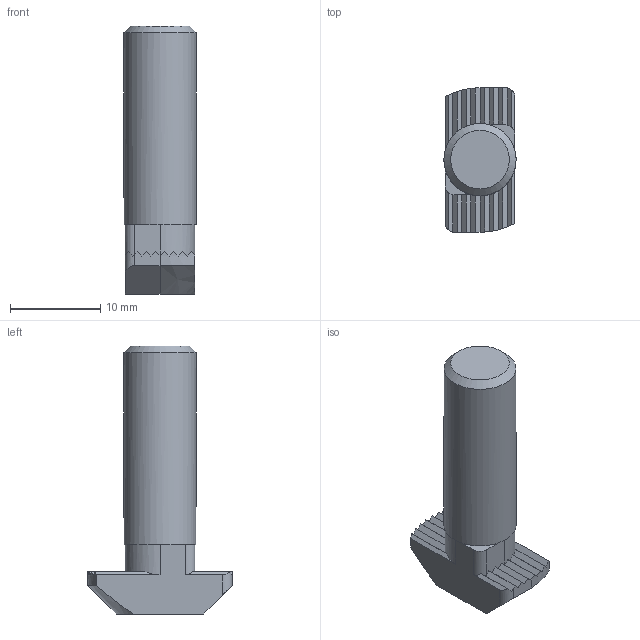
import cadquery as cq
import math

shank_diameter = 8.0
shank_length = 22.0
end_chamfer = 0.75
neck_top = 7.7
head_length = 16.0
head_width = 7.75
corner_radius = 1.05
shoulder_height = 3.15
tooth_pitch = 1.0
tooth_height = 0.5
tooth_root = 4.2

half_width = head_width / 2
half_length = head_length / 2
tooth_crest = tooth_root + tooth_height


def twist_lock_outline(plane_z, reach):
    """Outline with half size `reach` along Y: two round corners opposite two
    corners cut back to an arc about the axis, so the head can turn in its slot."""
    arc_end_y = math.sqrt(reach**2 - half_width**2)
    arc_mid = reach * math.sin(math.asin(half_width / reach) / 2)
    arc_mid_y = math.sqrt(reach**2 - arc_mid**2)
    flat_end = half_width - corner_radius
    side_end = reach - corner_radius
    corner_mid = corner_radius * (1 - math.sqrt(0.5))
    outline = (
        cq.Workplane("XY", origin=(0, 0, plane_z))
        .moveTo(-half_width, arc_end_y)
        .threePointArc((-arc_mid, arc_mid_y), (0, reach))
        .lineTo(flat_end, reach)
        .threePointArc((half_width - corner_mid, reach - corner_mid), (half_width, side_end))
        .lineTo(half_width, -arc_end_y)
        .threePointArc((arc_mid, -arc_mid_y), (0, -reach))
        .lineTo(-flat_end, -reach)
        .threePointArc((corner_mid - half_width, corner_mid - reach), (-half_width, -side_end))
    )
    return outline.close()


def flank_envelope():
    """45 degree flanks: flat beside the round corners, conical below the arcs."""
    bottom_reach = half_length - shoulder_height
    profile = [
        (0, 0),
        (bottom_reach, 0),
        (half_length, shoulder_height),
        (half_length, tooth_crest),
        (0, tooth_crest),
    ]
    flat_flank = cq.Workplane("YZ").polyline(profile).close().extrude(half_width)
    opposite_flank = flat_flank.rotate((0, 0, 0), (0, 0, 1), 180)
    cone = cq.Workplane("XZ").polyline(profile).close().revolve(360, (0, 0, 0), (0, 1, 0))
    return cone.union(flat_flank).union(opposite_flank)


def make_head():
    head = twist_lock_outline(0, half_length).extrude(tooth_crest).intersect(flank_envelope())
    last_valley = math.ceil(half_width / tooth_pitch)
    for index in range(-last_valley, last_valley + 1):
        valley_x = index * tooth_pitch
        groove = (
            cq.Workplane("XZ", origin=(0, half_length, 0))
            .moveTo(valley_x, tooth_root)
            .lineTo(valley_x + tooth_pitch / 2, tooth_crest)
            .lineTo(valley_x - tooth_pitch / 2, tooth_crest)
            .close()
            .extrude(head_length)
        )
        head = head.cut(groove)
    return head


def make_neck():
    return twist_lock_outline(shoulder_height, half_width).extrude(neck_top - shoulder_height)


def make_shank():
    shank = cq.Workplane("XY", origin=(0, 0, neck_top)).circle(shank_diameter / 2).extrude(shank_length)
    return shank.faces(">Z").chamfer(end_chamfer)


result = make_head().union(make_neck()).union(make_shank())